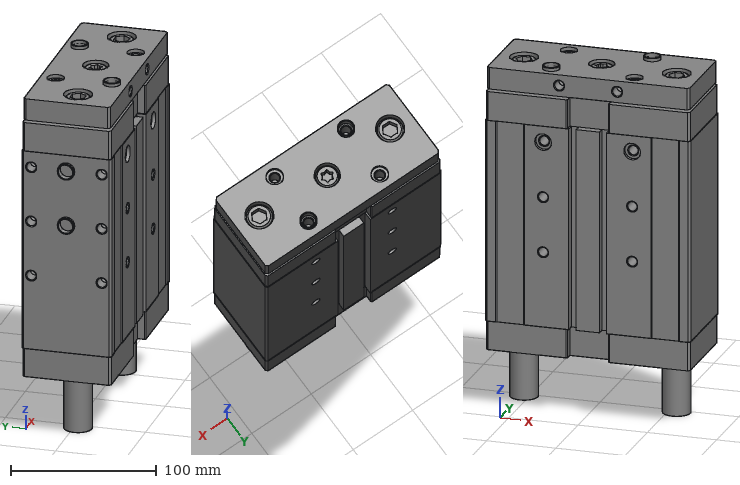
import cadquery as cq
import math


HOUSING_WIDTH = 148.0
HOUSING_DEPTH = 64.0
CAP_INSET = 0.5
BEVEL = 1.5
CAP_HEIGHT = 21.0
TOTAL_HOUSING_HEIGHT = 188.2

HOUSING_GROOVE_WIDTH = 27.2
CAP_GROOVE_WIDTH = 29.7
CAP_GROOVE_CHAMFER = 0.7
GROOVE_DEPTH = 6.2
RIB_WIDTH = 17.0
RIB_SETBACK = 0.5

PANEL_INNER_X = 45.5
PANEL_OUTER_X = 66.3
PANEL_DEPTH = 0.7

THREAD_DIAMETER = 8.0
CORE_DIAMETER = 6.7
THREAD_COUNTERSINK = (THREAD_DIAMETER - CORE_DIAMETER) / 2
DRILL_TIP_ANGLE = 118
BLIND_DEPTH = 10.0

HOLE_ROWS = 3
HOLE_ROW_PITCH = 40.1
SLEEVE_ROWS = 2
TOP_ROW_Z = 155.8
FRONT_HOLE_X = 32.2
SIDE_HOLE_Y = 25.2

SLEEVE_DIAMETER = 12.0
SLEEVE_PROTRUSION = 2.5
SIDE_SLEEVE_PROTRUSION = 2.2
SLEEVE_SEAT_DEPTH = 2.5
SLEEVE_BORE = 10.2
SLEEVE_CHAMFER = 0.2

PLATE_WIDTH = 146.0
PLATE_DEPTH = 61.8
PLATE_BEVEL = 1.7
PLATE_HEIGHT = 15.7
PLATE_GAP = 1.7
PLATE_HOLE_SPACING_X = 60.0
PLATE_HOLE_SPACING_Y = 40.1
PLATE_FRONT_HOLE_X = 21.0
GUIDE_ROD_DIAMETER = 20.0
GUIDE_ROD_X = 55.0
GUIDE_ROD_Y = -3.0
GUIDE_ROD_OVERHANG = 41.1
PISTON_ROD_DIAMETER = 16.0

GUIDE_SCREW_RECESS = 20.0
GUIDE_SCREW_HEAD = 18.0
GUIDE_HEAD_CHAMFER = 1.2
GUIDE_SOCKET_FLATS = 10.0
PISTON_SCREW_RECESS = 18.0
PISTON_SCREW_HEAD = 16.0
PISTON_HEAD_CHAMFER = 1.0
STAR_OUTER_DIAMETER = 9.5
STAR_INNER_DIAMETER = 6.7
STAR_POINTS = 6
HEAD_SINK = 1.5
RECESS_DEPTH = 7.5
SOCKET_DEPTH = 5.0

FRONT_Y = -HOUSING_DEPTH / 2
CAP_WIDTH = HOUSING_WIDTH - 2 * CAP_INSET
CAP_DEPTH = HOUSING_DEPTH - 2 * CAP_INSET
CAP_FRONT_Y = -CAP_DEPTH / 2
HOUSING_LEFT_X = -HOUSING_WIDTH / 2
HOUSING_HEIGHT = TOTAL_HOUSING_HEIGHT - 2 * CAP_HEIGHT
UPPER_CAP_Z = TOTAL_HOUSING_HEIGHT - CAP_HEIGHT
PLATE_Z = TOTAL_HOUSING_HEIGHT + PLATE_GAP
PLATE_TOP_Z = PLATE_Z + PLATE_HEIGHT
ROW_HEIGHTS = [TOP_ROW_Z - row * HOLE_ROW_PITCH for row in range(HOLE_ROWS)]
SLEEVE_ROW_HEIGHTS = ROW_HEIGHTS[:SLEEVE_ROWS]
GUIDE_ROD_PLACES = [(-GUIDE_ROD_X, GUIDE_ROD_Y), (GUIDE_ROD_X, GUIDE_ROD_Y)]
PLATE_HOLE_X = PLATE_HOLE_SPACING_X / 2
PLATE_HOLE_Y = PLATE_HOLE_SPACING_Y / 2
PLATE_SLEEVE_PLACES = [(-PLATE_HOLE_X, -PLATE_HOLE_Y), (PLATE_HOLE_X, PLATE_HOLE_Y)]
PLATE_HOLE_PLACES = [(x, y) for x in (-PLATE_HOLE_X, PLATE_HOLE_X) for y in (-PLATE_HOLE_Y, PLATE_HOLE_Y)]

UP = (0, 0, 1)
DOWN = (0, 0, -1)
TO_BACK = (0, 1, 0)
TO_LEFT = (-1, 0, 0)
TO_RIGHT = (1, 0, 0)


def centred_block(width, depth, height, base_z):
    return cq.Workplane("XY").workplane(offset=base_z).rect(width, depth).extrude(height)


def bevelled_block(width, depth, height, bevel, base_z):
    """A block with its four upright edges bevelled."""
    return centred_block(width, depth, height, base_z).edges("|Z").chamfer(bevel)


def bar(start, direction, diameter, length):
    """A round bar that runs from `start` along `direction`."""
    return cq.Workplane(cq.Solid.makeCylinder(diameter / 2, length, cq.Vector(*start), cq.Vector(*direction)))


def countersink(start, direction):
    """The cone at the mouth of a threaded hole."""
    cone = cq.Solid.makeCone(
        THREAD_DIAMETER / 2, CORE_DIAMETER / 2, THREAD_COUNTERSINK, cq.Vector(*start), cq.Vector(*direction)
    )
    return cq.Workplane(cone)


def threaded_hole(start, direction, depth):
    """A countersunk core hole with straight walls down to `depth`."""
    return bar(start, direction, CORE_DIAMETER, depth).union(countersink(start, direction))


def blind_threaded_hole(start, direction):
    """A threaded hole that ends in a drill tip."""
    tip_height = CORE_DIAMETER / 2 / math.tan(math.radians(DRILL_TIP_ANGLE / 2))
    tip_start = cq.Vector(*start) + cq.Vector(*direction) * BLIND_DEPTH
    tip = cq.Solid.makeCone(CORE_DIAMETER / 2, 0, tip_height, tip_start, cq.Vector(*direction))
    return threaded_hole(start, direction, BLIND_DEPTH).union(cq.Workplane(tip))


def guide_rod_bars(base_z, height):
    """Both guide rod cylinders, for the rods and for the holes they run in."""
    bars = cq.Workplane("XY").workplane(offset=base_z).pushPoints(GUIDE_ROD_PLACES)
    return bars.circle(GUIDE_ROD_DIAMETER / 2).extrude(height)


def housing_grooves():
    """Grooves up the middle of the front and back, each with a rib left standing in it."""
    groove = centred_block(HOUSING_GROOVE_WIDTH, HOUSING_DEPTH, HOUSING_HEIGHT, CAP_HEIGHT)
    core = centred_block(HOUSING_GROOVE_WIDTH, HOUSING_DEPTH - 2 * GROOVE_DEPTH, HOUSING_HEIGHT, CAP_HEIGHT)
    rib = centred_block(RIB_WIDTH, HOUSING_DEPTH - 2 * RIB_SETBACK, HOUSING_HEIGHT, CAP_HEIGHT)
    return groove.cut(core).cut(rib)


def front_panels():
    """A shallow panel on each half of the front, with walls that slope at 45 degrees."""
    panel = (
        cq.Workplane("XY")
        .workplane(offset=CAP_HEIGHT)
        .moveTo(PANEL_INNER_X, FRONT_Y)
        .lineTo(PANEL_INNER_X + PANEL_DEPTH, FRONT_Y + PANEL_DEPTH)
        .lineTo(PANEL_OUTER_X - PANEL_DEPTH, FRONT_Y + PANEL_DEPTH)
        .lineTo(PANEL_OUTER_X, FRONT_Y)
        .close()
        .extrude(HOUSING_HEIGHT)
    )
    return panel.union(panel.mirror("YZ"))


def make_housing():
    body = bevelled_block(HOUSING_WIDTH, HOUSING_DEPTH, HOUSING_HEIGHT, BEVEL, CAP_HEIGHT)
    body = body.cut(housing_grooves()).cut(front_panels())
    body = body.cut(guide_rod_bars(CAP_HEIGHT, HOUSING_HEIGHT))
    for z in ROW_HEIGHTS:
        for side in (-1, 1):
            body = body.cut(threaded_hole((side * FRONT_HOLE_X, FRONT_Y, z), TO_BACK, HOUSING_DEPTH))
            body = body.cut(blind_threaded_hole((HOUSING_LEFT_X, side * SIDE_HOLE_Y, z), TO_RIGHT))
    for side in (-1, 1):
        seat = (side * FRONT_HOLE_X, FRONT_Y, TOP_ROW_Z)
        body = body.cut(bar(seat, TO_BACK, SLEEVE_DIAMETER, SLEEVE_SEAT_DEPTH))
        seat_floor = (side * FRONT_HOLE_X, FRONT_Y + SLEEVE_SEAT_DEPTH, TOP_ROW_Z)
        body = body.cut(countersink(seat_floor, TO_BACK))
    for z in SLEEVE_ROW_HEIGHTS:
        body = body.cut(bar((HOUSING_LEFT_X, 0, z), TO_RIGHT, SLEEVE_DIAMETER, SLEEVE_SEAT_DEPTH))
    return body


def make_end_cap(base_z):
    cap = bevelled_block(CAP_WIDTH, CAP_DEPTH, CAP_HEIGHT, BEVEL, base_z)
    half_floor = CAP_GROOVE_WIDTH / 2
    half_mouth = half_floor + CAP_GROOVE_CHAMFER
    chamfer_y = CAP_FRONT_Y + CAP_GROOVE_CHAMFER
    floor_y = FRONT_Y + GROOVE_DEPTH
    groove = (
        cq.Workplane("XY")
        .workplane(offset=base_z)
        .moveTo(-half_mouth, CAP_FRONT_Y)
        .lineTo(-half_floor, chamfer_y)
        .lineTo(-half_floor, floor_y)
        .lineTo(half_floor, floor_y)
        .lineTo(half_floor, chamfer_y)
        .lineTo(half_mouth, CAP_FRONT_Y)
        .close()
        .extrude(CAP_HEIGHT)
    )
    return cap.cut(groove).cut(groove.mirror("XZ")).cut(guide_rod_bars(base_z, CAP_HEIGHT))


def screw_head(place, diameter, chamfer):
    head = cq.Workplane("XY").workplane(offset=PLATE_TOP_Z - RECESS_DEPTH).center(*place)
    head = head.circle(diameter / 2).extrude(RECESS_DEPTH - HEAD_SINK)
    return head.faces(">Z").edges().chamfer(chamfer)


def sink_screw(plate, place, recess_diameter, head_diameter, head_chamfer):
    """A recess in the plate with a chamfered screw head standing in it."""
    recess = bar((*place, PLATE_TOP_Z), DOWN, recess_diameter, RECESS_DEPTH)
    return plate.cut(recess).union(screw_head(place, head_diameter, head_chamfer))


def hexagon_socket(place):
    across_corners = GUIDE_SOCKET_FLATS / math.cos(math.pi / 6)
    socket = cq.Workplane("XY").workplane(offset=PLATE_TOP_Z - HEAD_SINK).center(*place)
    return socket.polygon(6, across_corners).extrude(-SOCKET_DEPTH)


def star_socket():
    points = []
    for step in range(2 * STAR_POINTS):
        radius = (STAR_INNER_DIAMETER if step % 2 else STAR_OUTER_DIAMETER) / 2
        angle = math.pi * step / STAR_POINTS
        points.append((radius * math.cos(angle), radius * math.sin(angle)))
    socket = cq.Workplane("XY").workplane(offset=PLATE_TOP_Z - HEAD_SINK)
    return socket.polyline(points).close().extrude(-SOCKET_DEPTH)


def make_plate():
    plate = bevelled_block(PLATE_WIDTH, PLATE_DEPTH, PLATE_HEIGHT, PLATE_BEVEL, PLATE_Z)
    for place in PLATE_HOLE_PLACES:
        seat_z = PLATE_TOP_Z - SLEEVE_SEAT_DEPTH
        plate = plate.cut(bar((*place, PLATE_TOP_Z), DOWN, SLEEVE_DIAMETER, SLEEVE_SEAT_DEPTH))
        plate = plate.cut(threaded_hole((*place, seat_z), DOWN, PLATE_HEIGHT))
    for x in (-PLATE_FRONT_HOLE_X, PLATE_FRONT_HOLE_X):
        mouth = (x, -PLATE_DEPTH / 2, PLATE_Z + PLATE_HEIGHT / 2)
        plate = plate.cut(blind_threaded_hole(mouth, TO_BACK))
    for place in GUIDE_ROD_PLACES:
        plate = sink_screw(plate, place, GUIDE_SCREW_RECESS, GUIDE_SCREW_HEAD, GUIDE_HEAD_CHAMFER)
        plate = plate.cut(hexagon_socket(place))
    plate = sink_screw(plate, (0, 0), PISTON_SCREW_RECESS, PISTON_SCREW_HEAD, PISTON_HEAD_CHAMFER)
    return plate.cut(star_socket())


def make_moving_unit():
    guide_rods = guide_rod_bars(-GUIDE_ROD_OVERHANG, PLATE_Z + GUIDE_ROD_OVERHANG)
    piston_rod = bar((0, 0, PLATE_Z), DOWN, PISTON_ROD_DIAMETER, PLATE_Z - UPPER_CAP_Z)
    return make_plate().union(guide_rods).union(piston_rod)


def make_sleeve(seat, direction, protrusion):
    """A ring whose inner end rests on `seat` and whose chamfered end points along `direction`."""
    length = SLEEVE_SEAT_DEPTH + protrusion
    sleeve = bar(seat, direction, SLEEVE_DIAMETER, length)
    outer_end = sleeve.faces(cq.selectors.DirectionMinMaxSelector(cq.Vector(*direction)))
    return outer_end.edges().chamfer(SLEEVE_CHAMFER).cut(bar(seat, direction, SLEEVE_BORE, length))


housing = make_housing()
piston_rod_hole = bar((0, 0, UPPER_CAP_Z), UP, PISTON_ROD_DIAMETER, CAP_HEIGHT)
lower_cap = make_end_cap(0)
upper_cap = make_end_cap(UPPER_CAP_Z).cut(piston_rod_hole)
moving_unit = make_moving_unit()
plate_sleeves = [
    make_sleeve((*place, PLATE_TOP_Z - SLEEVE_SEAT_DEPTH), UP, SLEEVE_PROTRUSION)
    for place in PLATE_SLEEVE_PLACES
]
side_sleeves = [
    make_sleeve((HOUSING_LEFT_X + SLEEVE_SEAT_DEPTH, 0, z), TO_LEFT, SIDE_SLEEVE_PROTRUSION)
    for z in SLEEVE_ROW_HEIGHTS
]

result = cq.Compound.makeCompound(
    [body.val() for body in (housing, lower_cap, upper_cap, moving_unit, *plate_sleeves, *side_sleeves)]
)